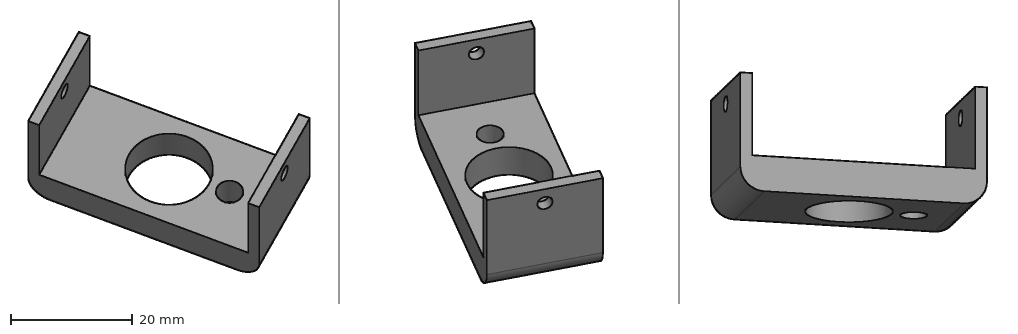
import cadquery as cq

length = 42.0
width = 20.0
height = 20.0

wall_thickness = 2.0
floor_thickness = 6.0
corner_radius = 4.0

large_hole_diameter = 14.5
small_hole_diameter = 4.5
small_hole_offset = 11.0

wall_hole_diameter = 2.6
wall_hole_drop = 3.0


def bracket_body():
    """Block with rounded lower ends and an open channel between the walls."""
    block = cq.Workplane("XY").box(length, width, height, centered=(True, True, False))
    block = block.faces("<Z").edges("|Y").fillet(corner_radius)
    channel = (
        cq.Workplane("XY")
        .workplane(offset=floor_thickness)
        .rect(length - 2 * wall_thickness, width)
        .extrude(height - floor_thickness)
    )
    return block.cut(channel)


def floor_hole(x, diameter):
    """Cutter for a vertical hole through the floor."""
    return cq.Workplane("XY").center(x, 0).circle(diameter / 2).extrude(floor_thickness)


def wall_holes():
    """Cutter for the aligned holes in both walls."""
    return (
        cq.Workplane("YZ")
        .center(0, height - wall_hole_drop)
        .circle(wall_hole_diameter / 2)
        .extrude(length / 2, both=True)
    )


result = (
    bracket_body()
    .cut(floor_hole(0, large_hole_diameter))
    .cut(floor_hole(small_hole_offset, small_hole_diameter))
    .cut(wall_holes())
)